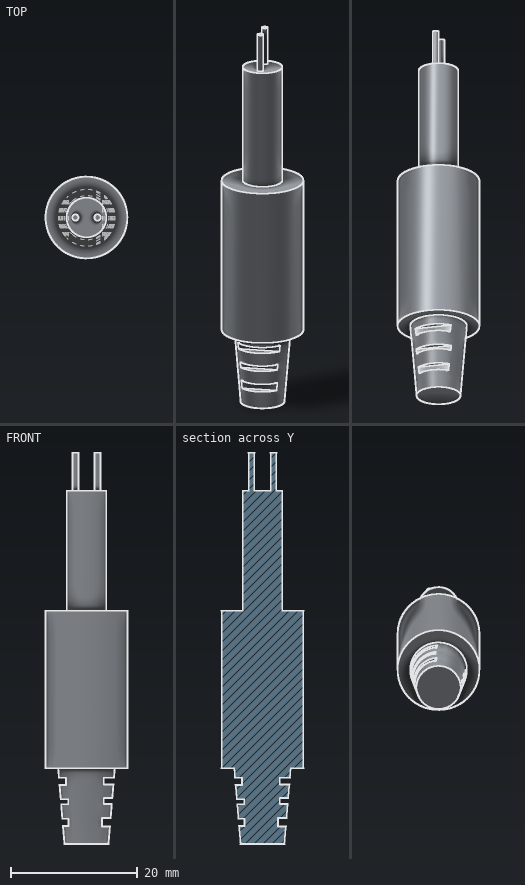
import cadquery as cq

relief_length = 12.0
body_length = 25.0
barrel_length = 19.0
pin_length = 6.0

relief_end_diameter = 7.0
relief_root_diameter = 9.0
body_diameter = 13.0
barrel_diameter = 6.3
pin_diameter = 1.0

pin_spacing = 3.5

total_length = relief_length + body_length + barrel_length + pin_length
relief_end_z = -total_length / 2
body_bottom_z = relief_end_z + relief_length
body_top_z = body_bottom_z + body_length
barrel_top_z = body_top_z + barrel_length

flex_slots = [
    (-1, 1.5, 1.1, 3.25),
    (-1, 4.9, 0.75, 2.9),
    (-1, 8.0, 1.1, 2.87),
    (1, 1.5, 1.0, 2.75),
    (1, 4.7, 0.9, 2.75),
    (1, 7.85, 1.3, 2.5),
]


def cylinder(diameter, length, bottom_z, x=0.0):
    """Upright cylinder standing on the given height."""
    return cq.Workplane("XY", origin=(x, 0, bottom_z)).circle(diameter / 2).extrude(length)


def make_relief_cone():
    """Solid cone that widens from the cable end to the body."""
    return cq.Workplane("XY").add(
        cq.Solid.makeCone(
            relief_end_diameter / 2,
            relief_root_diameter / 2,
            relief_length,
            pnt=cq.Vector(0, 0, relief_end_z),
        )
    )


def make_slot_cutter(side, top_depth, height, floor_distance):
    """Box that removes everything outside a flat slot floor on one side."""
    reach = body_diameter / 2 - floor_distance
    centre_x = side * (floor_distance + reach / 2)
    centre_z = body_bottom_z - top_depth - height / 2
    return cq.Workplane("XY", origin=(centre_x, 0, centre_z)).box(reach, body_diameter, height)


def make_strain_relief():
    """Tapered strain relief with flex slots on both sides."""
    relief = make_relief_cone()
    for slot in flex_slots:
        relief = relief.cut(make_slot_cutter(*slot))
    return relief


def make_plug():
    """Body, barrel, contact pins and strain relief joined into one solid."""
    plug = cylinder(body_diameter, body_length, body_bottom_z)
    plug = plug.union(cylinder(barrel_diameter, barrel_length, body_top_z))
    for side in (-1, 1):
        plug = plug.union(cylinder(pin_diameter, pin_length, barrel_top_z, side * pin_spacing / 2))
    return plug.union(make_strain_relief())


result = make_plug()